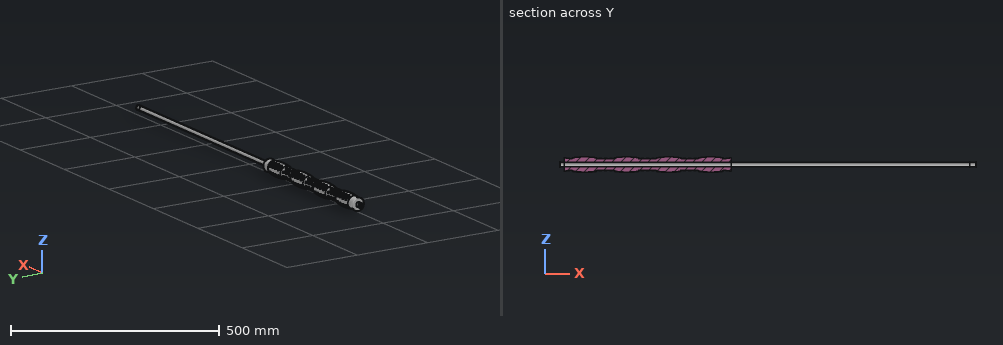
import cadquery as cq
import math

total_length = 1000.0
tube_diameter = 12.7
bore_diameter = 9.7
thread_diameter = 13.16
outlet_thread_length = 15.0
end_chamfer = 0.8

grip_start = 10.0
grip_length = 402.0
grip_end = grip_start + grip_length
core_diameter = 30.0

flange_diameter = 34.0
flange_land = 0.5
flange_rounding = 2.0
flange_cove_length = 11.0

barrel_count = 4
barrel_diameter = 38.0
barrel_end_diameter = 33.6
barrel_length = 57.0
barrel_pitch = 101.0
barrel_blend_length = 2.0
grip_middle = grip_start + grip_length / 2

band_angles = (45.0, 135.0, 225.0, 315.0)
dimple_diameter = 5.0
dimple_depth = 1.0
barrel_dimple_pitch = 12.2
barrel_row_offset = 19.0
barrel_middle_row_count = 5
waist_dimple_pitch = 13.0
waist_row_offset = 24.0
waist_middle_row_count = 2

core_radius = core_diameter / 2
barrel_radius = barrel_diameter / 2
barrel_end_radius = barrel_end_diameter / 2
barrel_half = barrel_length / 2
barrel_drop = barrel_radius - barrel_end_radius
barrel_arc_radius = (barrel_half**2 + barrel_drop**2) / (2 * barrel_drop)


def centred_steps(count, pitch):
    """Positions of `count` items spaced by `pitch` and centred on zero."""
    return [(i - (count - 1) / 2) * pitch for i in range(count)]


barrel_centres = [grip_middle + step for step in centred_steps(barrel_count, barrel_pitch)]
waist_centres = [grip_middle + step for step in centred_steps(barrel_count - 1, barrel_pitch)]


def barrel_surface_radius(offset):
    """Grip radius at an axial offset from the middle of a barrel."""
    return barrel_radius - barrel_arc_radius + math.sqrt(barrel_arc_radius**2 - offset**2)


def x_cylinder(diameter, start, end):
    """Round bar along the X axis."""
    return cq.Workplane("YZ").workplane(offset=start).circle(diameter / 2).extrude(end - start)


def make_barrel(centre):
    """Swelling with a convex crown and a concave run-out onto the core at each end."""
    blend_end = barrel_half + barrel_blend_length
    rise = barrel_end_radius - core_radius
    blend_radius = (barrel_blend_length**2 + rise**2) / (2 * rise)
    half_angle = math.asin(barrel_blend_length / blend_radius) / 2
    blend_x = blend_end - blend_radius * math.sin(half_angle)
    blend_r = core_radius + blend_radius * (1 - math.cos(half_angle))
    profile = (
        cq.Workplane("XY")
        .moveTo(centre - blend_end, 0)
        .lineTo(centre - blend_end, core_radius)
        .threePointArc((centre - blend_x, blend_r), (centre - barrel_half, barrel_end_radius))
        .threePointArc((centre, barrel_radius), (centre + barrel_half, barrel_end_radius))
        .threePointArc((centre + blend_x, blend_r), (centre + blend_end, core_radius))
        .lineTo(centre + blend_end, 0)
        .close()
    )
    return profile.revolve(360, (0, 0, 0), (1, 0, 0))


def radial_cutter(x, angle, diameter, floor_radius):
    """Cylinder pointing outward from the X axis, starting at `floor_radius`."""
    direction = cq.Vector(0, math.cos(math.radians(angle)), math.sin(math.radians(angle)))
    base = cq.Vector(x, 0, 0) + direction * floor_radius
    return cq.Solid.makeCylinder(diameter / 2, barrel_radius, base, direction)


def dimple_cutters(centre, middle_count, outer_count, pitch, row_offset, surface_radius):
    """Three staggered rows of dimples in each band of one grip section."""
    rows = ((-row_offset, outer_count), (0, middle_count), (row_offset, outer_count))
    cutters = []
    for band_angle in band_angles:
        for angle_offset, count in rows:
            for step in centred_steps(count, pitch):
                floor_radius = surface_radius(step) - dimple_depth
                angle = band_angle + angle_offset
                cutters.append(radial_cutter(centre + step, angle, dimple_diameter, floor_radius))
    return cutters


def make_flange(face_x, inward):
    """Flange with a rounded rim and a cove easing onto the core; `inward` is +1 or -1 along X."""
    flange_radius = flange_diameter / 2
    corner = flange_rounding * (1 - math.sqrt(0.5))
    cove_start = flange_rounding + flange_land
    cove_end = cove_start + flange_cove_length
    rise = flange_radius - core_radius
    cove_radius = (flange_cove_length**2 + rise**2) / (2 * rise)
    half_angle = math.asin(flange_cove_length / cove_radius) / 2
    cove_x = cove_end - cove_radius * math.sin(half_angle)
    cove_r = core_radius + cove_radius * (1 - math.cos(half_angle))

    def at(depth, radius):
        return (face_x + inward * depth, radius)

    profile = (
        cq.Workplane("XY")
        .moveTo(*at(0, 0))
        .lineTo(*at(0, flange_radius - flange_rounding))
        .threePointArc(at(corner, flange_radius - corner), at(flange_rounding, flange_radius))
        .lineTo(*at(cove_start, flange_radius))
        .threePointArc(at(cove_x, cove_r), at(cove_end, core_radius))
        .lineTo(*at(cove_end, 0))
        .close()
    )
    return profile.revolve(360, (0, 0, 0), (1, 0, 0))


def make_tube():
    """Tube with a threaded spigot at each end, without its bore."""
    tube = x_cylinder(tube_diameter, 0, total_length)
    inlet = x_cylinder(thread_diameter, 0, grip_start)
    outlet = x_cylinder(thread_diameter, total_length - outlet_thread_length, total_length)
    inlet = inlet.faces("<X").chamfer(end_chamfer)
    return tube.union(inlet).union(outlet)


def make_grip():
    """Grip core with its flanges and barrels, before dimpling."""
    grip = x_cylinder(core_diameter, grip_start, grip_end)
    grip = grip.union(make_flange(grip_start, 1)).union(make_flange(grip_end, -1))
    for centre in barrel_centres:
        grip = grip.union(make_barrel(centre))
    return grip


def cut_dimples(grip):
    """Dimple the barrels and the waists between them."""
    cutters = []
    for centre in barrel_centres:
        cutters += dimple_cutters(
            centre, barrel_middle_row_count, barrel_middle_row_count - 1,
            barrel_dimple_pitch, barrel_row_offset, barrel_surface_radius,
        )
    for centre in waist_centres:
        cutters += dimple_cutters(
            centre, waist_middle_row_count, waist_middle_row_count + 1,
            waist_dimple_pitch, waist_row_offset, lambda offset: core_radius,
        )
    return cq.Workplane(obj=grip.val().cut(*cutters))


result = make_tube().union(cut_dimples(make_grip()))
result = result.cut(x_cylinder(bore_diameter, 0, total_length))